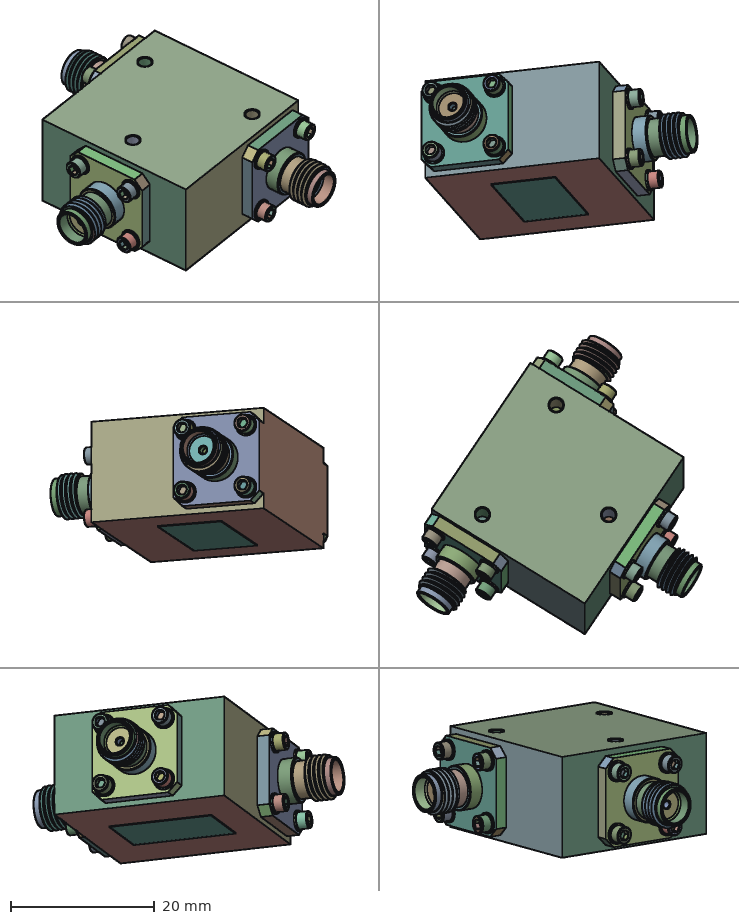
import cadquery as cq
import math

overall_length = 44.55
overall_height = 14.52
body_side = 25.4
label_length = 15.25
label_width = 9.35
label_thickness = 0.15
body_height = overall_height - label_thickness

mount_hole_d = 1.85
mount_hole_mouth_d = 2.2
mount_hole_mouth_depth = 0.15
mount_hole_depth = 4.0
drill_point_angle = 118.0
mount_hole_x = 9.5
front_hole_y = -8.45

flange_side = 12.7
flange_thickness = 1.8
flange_chamfer = 1.35
connector_drop = 0.05
connector_reach = (overall_length - body_side) / 2
connector_z = -connector_drop
side_connector_y = (body_side - flange_side) / 2

hub_d = 6.35
hub_height = 2.1
hub_chamfer = 0.15
barrel_d = 5.35
barrel_chamfer = 0.15
bore_mouth_d = 4.75
bore_d = 4.5
bore_floor_d = 4.0
bore_depth = 2.15
bore_mouth_taper = (bore_mouth_d - bore_d) / 2
bore_floor_taper = (bore_d - bore_floor_d) / 2
contact_d = 1.3
contact_hole_d = 1.02
contact_hole_depth = 1.35

thread_d = 6.35
thread_root_d = 5.55
thread_pitch = 0.7
thread_crest_width = 0.1
thread_tip_gap = 1.02
thread_length = 2.95
thread_root_gap = 0.022
thread_root_width = thread_pitch - thread_root_gap
thread_start_angle = 45.0
thread_end_chamfer = 0.45
thread_band_d = thread_d + 0.45
ridge_sink = 0.1

screw_spacing = 8.9
head_d = 2.45
head_height = 1.83
head_chamfer = 0.15
washer_d = 2.95
washer_thickness = 0.25
socket_flats = 1.3
socket_corners_d = socket_flats / math.cos(math.radians(30))
socket_depth = 0.9
socket_mouth_depth = 0.2


def disc(diameter, height, base=0.0):
    """Cylinder on the local Z axis standing on z = base."""
    return cq.Workplane("XY").workplane(offset=base).circle(diameter / 2).extrude(height)


def drill(mouth_d, hole_d, depth, top):
    """Cutter for a hole going down from z = top with a 45 degree countersunk mouth."""
    sink = (mouth_d - hole_d) / 2
    outline = [
        (0, top),
        (mouth_d / 2, top),
        (hole_d / 2, top - sink),
        (hole_d / 2, top - depth),
        (0, top - depth),
    ]
    return cq.Workplane("XZ").polyline(outline).close().revolve(360, (0, 0), (0, 1))


def make_body():
    body = cq.Workplane("XY").box(body_side, body_side, body_height)
    label = (
        cq.Workplane("XY")
        .box(label_length, label_width, label_thickness)
        .translate((0, 0, -(body_height + label_thickness) / 2))
    )
    return body.union(label)


def make_mount_hole():
    """Cutter for one mounting hole, with a shallow counterbore and a drill point."""
    top = body_height / 2
    point_height = mount_hole_d / 2 / math.tan(math.radians(drill_point_angle / 2))
    point_base = cq.Vector(0, 0, top - mount_hole_depth)
    point = cq.Solid.makeCone(mount_hole_d / 2, 0, point_height, point_base, cq.Vector(0, 0, -1))
    bore = disc(mount_hole_d, mount_hole_depth, top - mount_hole_depth)
    mouth = disc(mount_hole_mouth_d, mount_hole_mouth_depth, top - mount_hole_mouth_depth)
    return bore.union(mouth).union(cq.Workplane(point))


def make_thread():
    """Thread core with a helical ridge, trimmed to a band with chamfered ends."""
    start = connector_reach - thread_tip_gap - thread_length
    helix_start = start - thread_pitch
    core = disc(thread_root_d, thread_length, start)
    root_r = thread_root_d / 2 - ridge_sink
    crest_r = thread_d / 2
    root_half = thread_root_width / 2
    crest_half = thread_crest_width / 2
    path = cq.Wire.makeHelix(thread_pitch, thread_length + 2 * thread_pitch, root_r)
    profile = [(root_r, -root_half), (crest_r, -crest_half), (crest_r, crest_half), (root_r, root_half)]
    ridge = cq.Workplane("XZ").polyline(profile).close().sweep(cq.Workplane(path), isFrenet=True)
    ridge = ridge.translate((0, 0, helix_start)).rotate((0, 0, 0), (0, 0, 1), thread_start_angle)
    band = disc(thread_band_d, thread_length, start).edges().chamfer(thread_end_chamfer)
    return core.union(ridge.intersect(band))


def make_screw():
    """Hexagon socket head screw and washer standing on the flange."""
    top = flange_thickness + head_height
    head = disc(head_d, head_height, flange_thickness).faces(">Z").edges().chamfer(head_chamfer)
    washer = disc(washer_d, washer_thickness, flange_thickness)
    socket = (
        cq.Workplane("XY")
        .workplane(offset=top - socket_depth)
        .polygon(6, socket_corners_d)
        .extrude(socket_depth)
    )
    mouth = drill(socket_corners_d, socket_flats, socket_mouth_depth, top)
    return head.union(washer).cut(socket).cut(mouth)


def make_bore():
    """Cutter for the open end of the barrel, tapered at its mouth and at its floor."""
    floor = connector_reach - bore_depth
    outline = [
        (0, connector_reach),
        (bore_mouth_d / 2, connector_reach),
        (bore_d / 2, connector_reach - bore_mouth_taper),
        (bore_d / 2, floor + bore_floor_taper),
        (bore_floor_d / 2, floor),
        (0, floor),
    ]
    return cq.Workplane("XZ").polyline(outline).close().revolve(360, (0, 0), (0, 1))


def make_connector():
    """Flanged coaxial connector along local +Z, seated on z = 0."""
    flange = (
        cq.Workplane("XY")
        .rect(flange_side, flange_side)
        .extrude(flange_thickness)
        .edges("|Z")
        .chamfer(flange_chamfer)
    )
    hub = disc(hub_d, hub_height, flange_thickness).faces(">Z").edges().chamfer(hub_chamfer)
    barrel = disc(barrel_d, connector_reach).faces(">Z").edges().chamfer(barrel_chamfer)
    connector = flange.union(hub).union(barrel).union(make_thread())

    contact_hole = drill(contact_d, contact_hole_d, contact_hole_depth, connector_reach - bore_depth)
    connector = connector.cut(make_bore()).cut(contact_hole)

    screw = make_screw()
    for x in (-screw_spacing / 2, screw_spacing / 2):
        for y in (-screw_spacing / 2, screw_spacing / 2):
            connector = connector.union(screw.translate((x, y, 0)))
    return connector.val()


result = make_body()

mount_hole = make_mount_hole()
mount_hole_places = [
    (-mount_hole_x, side_connector_y),
    (mount_hole_x, side_connector_y),
    (0, front_hole_y),
]
for x, y in mount_hole_places:
    result = result.cut(mount_hole.translate((x, y, 0)))

connector = make_connector()
for turn, offset in [(0, side_connector_y), (180, -side_connector_y), (-90, 0)]:
    seat = cq.Plane((body_side / 2, offset, connector_z), (0, 1, 0), (1, 0, 0))
    seated = cq.Workplane(connector.moved(cq.Location(seat)))
    result = result.union(seated.rotate((0, 0, 0), (0, 0, 1), turn))